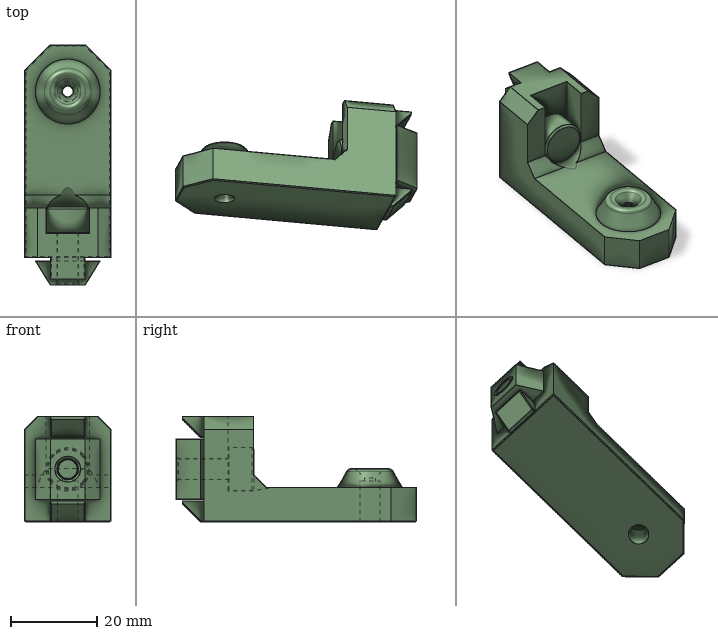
import cadquery as cq
import math


width = 20.0
bracket_length = 49.41
total_height = 24.5
base_thickness = 8.0
upright_thickness = 11.58
upright_chamfer = 3.0
heel_chamfer = 2.92
end_chamfer = width / (2 + math.sqrt(2))
edge_chamfer = 0.25

rail_width = 8.0
rail_reach = 5.0
rail_height = 4.9
rail_foot = 0.8
rail_rise = rail_reach - rail_foot

nozzle_y = bracket_length - 10.8
nozzle_height = 4.4
nozzle_top_diameter = 10.0
nozzle_side_angle = 30.0
nozzle_rounding = 1.5
nozzle_bore = 2.5
nozzle_bore_length = 0.7
feed_bore = 4.7
funnel_inner_diameter = 6.0
funnel_top_radius = (
    funnel_inner_diameter / 2
    + nozzle_rounding * math.tan(math.radians(22.5)) * math.cos(math.radians(45))
)
funnel_depth = funnel_top_radius - nozzle_bore / 2
nozzle_base_radius = nozzle_top_diameter / 2 + nozzle_height * math.tan(math.radians(nozzle_side_angle))

axis_z = total_height / 2
head_diameter = 10.0
head_end_diameter = 9.04
head_length = 6.15
head_chamfer = (head_diameter - head_end_diameter) / 2
seat_chamfer = 0.3
shank_diameter = 4.7
tip_diameter = 4.4
tip_chamfer = (shank_diameter - tip_diameter) / 2

pocket_diameter = 10.15
pocket_depth = 6.0
access_taper = 10.0
access_length = 8.0
seat_y = upright_thickness - pocket_depth

jaw_height = 14.0
jaw_back_width = 15.0
jaw_front_width = 8.0
jaw_gap = 0.8
jaw_front_y = -6.42
neck_width = 8.0
screw_hole_diameter = 4.92
countersink_diameter = 6.0


def axial_frame(y):
    """Workplane on the screw axis at the given Y, with its normal along +Y."""
    return cq.Workplane(cq.Plane(origin=(0, y, axis_z), xDir=(1, 0, 0), normal=(0, 1, 0)))


def make_body():
    profile = [
        (0, 0),
        (bracket_length, 0),
        (bracket_length, base_thickness),
        (upright_thickness + heel_chamfer, base_thickness),
        (upright_thickness, base_thickness + heel_chamfer),
        (upright_thickness, total_height),
        (0, total_height),
    ]
    body = cq.Workplane("YZ").polyline(profile).close().extrude(width / 2, both=True)
    upright_top = cq.selectors.BoxSelector(
        (-width, -1, total_height - 1), (width, upright_thickness + 1, total_height + 1)
    )
    body = body.edges(upright_top).edges("|Y").chamfer(upright_chamfer)
    return body.edges("|Z").edges(">Y").chamfer(end_chamfer)


def make_rail(top_z):
    """Hook with a flat top, a 45 degree underside and bevelled lower side edges."""
    profile = [
        (0, top_z),
        (-rail_reach, top_z),
        (-rail_reach, top_z - rail_height + rail_rise),
        (-rail_foot, top_z - rail_height),
        (0, top_z - rail_height),
    ]
    rail = cq.Workplane("YZ").polyline(profile).close().extrude(rail_width / 2, both=True)
    lower_side_edges = rail.faces("<X or >X").edges("not (|Z or >Z)")
    return lower_side_edges.chamfer(edge_chamfer)


def make_nozzle():
    rim = nozzle_top_diameter / 2
    nozzle = (
        cq.Workplane("XZ")
        .polyline([
            (0, 0),
            (nozzle_base_radius, 0),
            (rim, nozzle_height),
            (funnel_top_radius, nozzle_height),
            (nozzle_bore / 2, nozzle_height - funnel_depth),
            (0, nozzle_height - funnel_depth),
        ])
        .close()
        .revolve(360, (0, 0, 0), (0, 1, 0))
    )
    nozzle = nozzle.faces(">Z").edges().fillet(nozzle_rounding)
    return nozzle.translate((0, nozzle_y, base_thickness))


def make_head_pocket():
    """Round-bottomed slot, open upward, with a tapered relief running out over the base."""
    radius = pocket_diameter / 2
    bore = axial_frame(seat_y).circle(radius).extrude(pocket_depth)
    slot = cq.Workplane("XY").box(
        pocket_diameter, pocket_depth, total_height - axis_z, centered=(True, False, False)
    )
    access_end_radius = radius - access_length * math.tan(math.radians(access_taper))
    access = cq.Workplane(cq.Solid.makeCone(
        radius, access_end_radius, access_length,
        pnt=cq.Vector(0, upright_thickness, axis_z), dir=cq.Vector(0, 1, 0),
    ))
    return bore.union(slot.translate((0, seat_y, axis_z))).union(access)


def make_bracket():
    bracket = make_body().faces("<Z").edges().chamfer(edge_chamfer)
    for top_z in (total_height, rail_height):
        bracket = bracket.union(make_rail(top_z))
    bracket = bracket.union(make_nozzle())
    nozzle_hole = cq.Workplane("XY").center(0, nozzle_y).circle(nozzle_bore / 2).extrude(total_height)
    screw_hole = axial_frame(0).circle(screw_hole_diameter / 2).extrude(seat_y)
    feed_length = base_thickness + nozzle_height - funnel_depth - nozzle_bore_length
    feed_hole = cq.Workplane("XY").center(0, nozzle_y).circle(feed_bore / 2).extrude(feed_length)
    return bracket.cut(nozzle_hole).cut(feed_hole).cut(make_head_pocket()).cut(screw_hole)


def make_jaw():
    """Dovetail block whose neck rests on the clamping face."""
    half_outline = [
        (neck_width / 2, 0),
        (neck_width / 2, -jaw_gap),
        (jaw_back_width / 2, -jaw_gap),
        (jaw_front_width / 2, jaw_front_y),
    ]
    mirrored = [(-x, y) for x, y in reversed(half_outline)]
    jaw = (
        cq.Workplane("XY", origin=(0, 0, axis_z))
        .polyline(half_outline + mirrored)
        .close()
        .extrude(jaw_height / 2, both=True)
    )
    jaw = jaw.cut(axial_frame(jaw_front_y).circle(screw_hole_diameter / 2).extrude(-jaw_front_y))
    countersink_depth = (countersink_diameter - screw_hole_diameter) / 2
    countersink = cq.Solid.makeCone(
        countersink_diameter / 2, screw_hole_diameter / 2, countersink_depth,
        pnt=cq.Vector(0, jaw_front_y, axis_z), dir=cq.Vector(0, 1, 0),
    )
    return jaw.cut(cq.Workplane(countersink))


def make_screw():
    head = axial_frame(seat_y).circle(head_diameter / 2).extrude(head_length)
    head = head.faces(">Y").chamfer(head_chamfer)
    head = head.faces("<Y").chamfer(seat_chamfer)
    shank = axial_frame(jaw_front_y).circle(shank_diameter / 2).extrude(seat_y - jaw_front_y)
    shank = shank.faces("<Y").chamfer(tip_chamfer)
    return head.union(shank)


bracket = make_bracket()
jaw = make_jaw()
screw = make_screw()

result = cq.Compound.makeCompound([bracket.val(), jaw.val(), screw.val()])